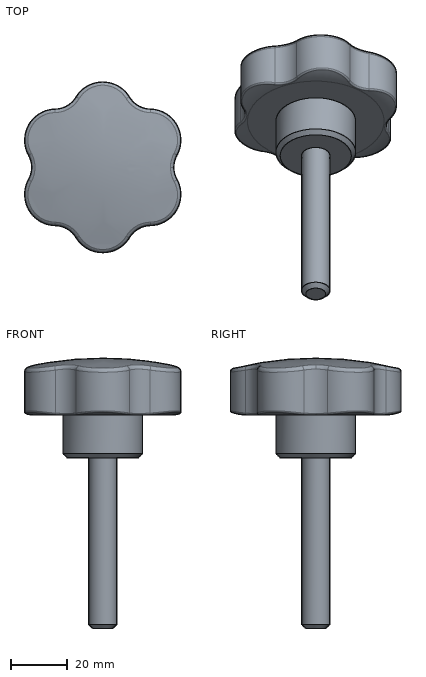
import cadquery as cq
import math


stem_diameter = 10.0
stem_length = 60.0
stem_chamfer = 1.5

hub_diameter = 28.0
hub_height = 15.0
hub_chamfer = 1.5

lobe_count = 6
head_diameter = 60.0
head_height = 20.0
lobe_radius = 11.0
valley_radius = 8.6
dome_radius = 120.0
dome_edge_fillet = 1.5

flat_radius = 24.0
rim_curve_radius = 17.0
underside_edge_fillet = 0.6

envelope_margin = 1.0

head_radius = head_diameter / 2
head_bottom = hub_height
head_top = head_bottom + head_height
lobe_center_radius = head_radius - lobe_radius
lobe_pitch = 2 * math.pi / lobe_count

valley_center_radius = lobe_center_radius * math.cos(lobe_pitch / 2) + math.sqrt(
    (lobe_radius + valley_radius) ** 2
    - (lobe_center_radius * math.sin(lobe_pitch / 2)) ** 2
)
valley_bottom_radius = valley_center_radius - valley_radius


def polar(radius, angle):
    return (radius * math.cos(angle), radius * math.sin(angle))


def tangent_point(lobe_angle, valley_angle):
    """Point where a lobe arc runs smoothly into a valley arc."""
    lobe_x, lobe_y = polar(lobe_center_radius, lobe_angle)
    valley_x, valley_y = polar(valley_center_radius, valley_angle)
    share = lobe_radius / (lobe_radius + valley_radius)
    return (lobe_x + share * (valley_x - lobe_x), lobe_y + share * (valley_y - lobe_y))


def lobed_prism():
    """Straight-sided head outline, with one lobe on the +Y axis."""
    first_lobe = math.pi / 2
    half_pitch = lobe_pitch / 2
    outline = cq.Workplane("XY").workplane(offset=head_bottom)
    outline = outline.moveTo(*tangent_point(first_lobe, first_lobe - half_pitch))
    for index in range(lobe_count):
        lobe_angle = first_lobe + index * lobe_pitch
        valley_angle = lobe_angle + half_pitch
        next_lobe_angle = lobe_angle + lobe_pitch
        outline = outline.threePointArc(
            polar(head_radius, lobe_angle), tangent_point(lobe_angle, valley_angle)
        )
        outline = outline.threePointArc(
            polar(valley_bottom_radius, valley_angle),
            tangent_point(next_lobe_angle, valley_angle),
        )
    return outline.close().extrude(head_height)


def head_envelope():
    """Turned body that gives the head its domed top and curved underside."""
    envelope_radius = head_radius + envelope_margin

    def dome_z(radius):
        return head_top - dome_radius + math.sqrt(dome_radius**2 - radius**2)

    def underside_z(radius):
        reach = radius - flat_radius
        return head_bottom + rim_curve_radius - math.sqrt(rim_curve_radius**2 - reach**2)

    mid_dome = envelope_radius / 2
    mid_rim = (flat_radius + envelope_radius) / 2
    return (
        cq.Workplane("XZ")
        .moveTo(0, head_bottom)
        .lineTo(flat_radius, head_bottom)
        .threePointArc(
            (mid_rim, underside_z(mid_rim)),
            (envelope_radius, underside_z(envelope_radius)),
        )
        .lineTo(envelope_radius, dome_z(envelope_radius))
        .threePointArc((mid_dome, dome_z(mid_dome)), (0, head_top))
        .close()
        .revolve(360, (0, 0, 0), (0, 1, 0))
    )


def make_head():
    head = lobed_prism().intersect(head_envelope())
    head = head.faces(">Z").edges().fillet(dome_edge_fillet)
    return head.faces("%TORUS").edges("not %CIRCLE").fillet(underside_edge_fillet)


def make_hub():
    hub = cq.Workplane("XY").circle(hub_diameter / 2).extrude(hub_height)
    return hub.faces("<Z").chamfer(hub_chamfer)


def make_stem():
    stem = cq.Workplane("XY").circle(stem_diameter / 2).extrude(-stem_length)
    return stem.faces("<Z").chamfer(stem_chamfer)


result = make_head().union(make_hub()).union(make_stem())